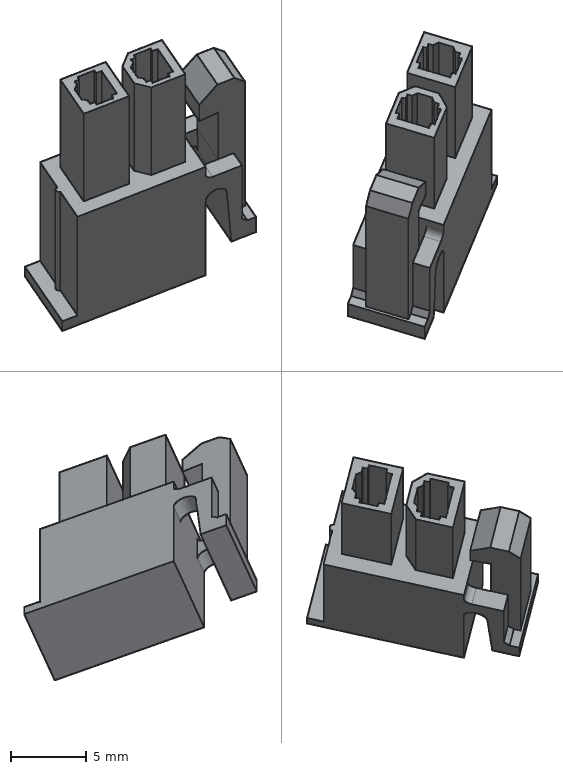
import cadquery as cq

width = 5.4
total_length = 14.45
total_height = 19.8
body_front = 1.13
body_back = 10.7
body_top = 10.95
flange_height = 0.99
rib_radius = 0.22

tower_size = 3.39
tower_front = 2.12
tower_pitch = 4.2
tower_chamfer = 0.85

cavity_half_width = 1.37
cavity_neck_half_width = 1.1
cavity_key_half_width = 0.77
cavity_tip_half_width = 0.51
cavity_tip = 0.45
cavity_key = 0.77
cavity_shoulder_front = 1.13
cavity_shoulder_back = 2.38
cavity_back = 2.77

bridge_top = 9.66
bridge_fillet = 0.51
leg_outer = 13.4
leg_inner = 12.28
pad_bottom = 2.38
pad_top = 3.9
pad_inner = 12.61
pad_chamfer = 0.4
slot_radius = (leg_inner - body_back) / 2
slot_arch_center = 7.45

arm_width = 2.99
arm_outer = 14.25
arm_inner = 12.24
arm_top = 17.23
arm_chamfer = 0.8
hook_tip = 10.83
hook_slope_start = 12.2
hook_tip_top = 15.9
hook_tip_bottom = 14.25
hook_root_bottom = 14.37


def side_profile():
    """Start a sketch on the X = 0 centre plane, with points given as (Y, Z)."""
    return cq.Workplane("YZ")


def box(x_size, y_start, y_end, z_start, z_end):
    """Box centred in X between the given Y and Z limits."""
    return (
        cq.Workplane("XY", origin=(0, (y_start + y_end) / 2, z_start))
        .rect(x_size, y_end - y_start)
        .extrude(z_end - z_start)
    )


def make_body():
    block = box(width, body_front, body_back, 0, body_top)
    flange = box(width, 0, body_front, 0, flange_height)
    rib = (
        cq.Workplane("XY", origin=(0, body_front, 0))
        .circle(rib_radius)
        .extrude(body_top)
    )
    return block.union(flange).union(rib)


def make_legs():
    """Bridges, tapered legs and end pad, split by the opening behind the body."""
    legs = (
        side_profile()
        .moveTo(body_back, bridge_top + bridge_fillet)
        .radiusArc((body_back + bridge_fillet, bridge_top), -bridge_fillet)
        .lineTo(leg_outer, bridge_top)
        .lineTo(leg_outer, pad_top + pad_chamfer)
        .lineTo(leg_outer + pad_chamfer, pad_top)
        .lineTo(total_length, pad_top)
        .lineTo(total_length, pad_bottom)
        .lineTo(pad_inner, pad_bottom)
        .lineTo(leg_inner, slot_arch_center)
        .threePointArc(
            (body_back + slot_radius, slot_arch_center + slot_radius),
            (body_back, slot_arch_center),
        )
        .close()
        .extrude(width / 2, both=True)
    )
    opening = (
        side_profile()
        .moveTo(body_back, body_top)
        .lineTo(body_back, pad_bottom)
        .lineTo(pad_inner, pad_bottom)
        .lineTo(leg_inner, slot_arch_center)
        .lineTo(arm_inner, bridge_top)
        .lineTo(arm_inner, body_top)
        .close()
        .extrude(arm_width / 2, both=True)
    )
    return legs.cut(opening)


def make_arm():
    return (
        side_profile()
        .moveTo(arm_outer, pad_top)
        .lineTo(arm_outer, arm_top - arm_chamfer)
        .lineTo(arm_outer - arm_chamfer, arm_top)
        .lineTo(hook_slope_start, arm_top)
        .lineTo(hook_tip, hook_tip_top)
        .lineTo(hook_tip, hook_tip_bottom)
        .lineTo(arm_inner, hook_root_bottom)
        .lineTo(arm_inner, bridge_top)
        .lineTo(leg_outer, bridge_top)
        .lineTo(leg_outer, pad_top)
        .close()
        .extrude(arm_width / 2, both=True)
    )


def make_tower(front, chamfered):
    tower = box(tower_size, front, front + tower_size, body_top, total_height)
    if chamfered:
        tower = tower.faces("<Y").edges("|Z").chamfer(tower_chamfer)
    return tower


def make_cavity(front):
    """Stepped terminal cavity, running the full height of a tower."""
    right_side = [
        (cavity_tip_half_width, cavity_tip),
        (cavity_key_half_width, cavity_key),
        (cavity_neck_half_width, cavity_key),
        (cavity_neck_half_width, cavity_shoulder_front),
        (cavity_half_width, cavity_shoulder_front),
        (cavity_half_width, cavity_shoulder_back),
        (cavity_neck_half_width, cavity_shoulder_back),
        (cavity_neck_half_width, cavity_back),
    ]
    left_side = [(-x, y) for x, y in reversed(right_side)]
    return (
        cq.Workplane("XY", origin=(0, front, body_top))
        .polyline(right_side + left_side)
        .close()
        .extrude(total_height - body_top)
    )


result = make_body().union(make_legs()).union(make_arm())
for index, chamfered in enumerate([False, True]):
    front = tower_front + index * tower_pitch
    result = result.union(make_tower(front, chamfered)).cut(make_cavity(front))